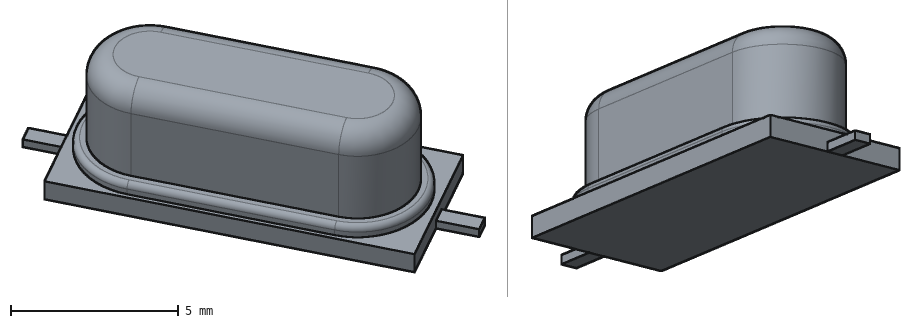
import cadquery as cq

total_length = 14.3
total_height = 4.3

base_length = 11.6
base_width = 4.9
base_height = 0.7

end_centre_spacing = 6.5
can_width = 3.8
can_top_radius = 0.8
rim_overhang = 0.4
rim_height = 0.4
rim_top_radius = 0.2

lead_width = 0.57
lead_height = 0.3

can_height = total_height - base_height
can_length = end_centre_spacing + can_width
rim_length = can_length + 2 * rim_overhang
rim_width = can_width + 2 * rim_overhang
lead_length = (total_length - base_length) / 2
lead_centre_x = (base_length + lead_length) / 2


def make_obround(length, width, height):
    """Upright obround block standing on the top face of the base."""
    return (
        cq.Workplane("XY")
        .workplane(offset=base_height)
        .slot2D(length, width)
        .extrude(height)
    )


def make_base():
    """Flat rectangular plate with its underside at Z = 0."""
    return cq.Workplane("XY").box(base_length, base_width, base_height, centered=(True, True, False))


def make_can():
    """Obround can with a rounded top edge."""
    return make_obround(can_length, can_width, can_height).faces(">Z").edges().fillet(can_top_radius)


def make_rim():
    """Ring with a rounded outer top edge that fits around the foot of the can."""
    outer = make_obround(rim_length, rim_width, rim_height).faces(">Z").edges().fillet(rim_top_radius)
    can_opening = make_obround(can_length, can_width, rim_height)
    return outer.cut(can_opening)


def make_lead(side):
    """Flat lead butting against one end of the base; side is -1 or 1 along X."""
    return (
        cq.Workplane("XY")
        .box(lead_length, lead_width, lead_height, centered=(True, True, False))
        .translate((side * lead_centre_x, 0, 0))
    )


base = make_base()
can = make_can()
rim = make_rim()
leads = [make_lead(side) for side in (-1, 1)]

result = cq.Compound.makeCompound([base.val(), can.val(), rim.val(), *[lead.val() for lead in leads]])